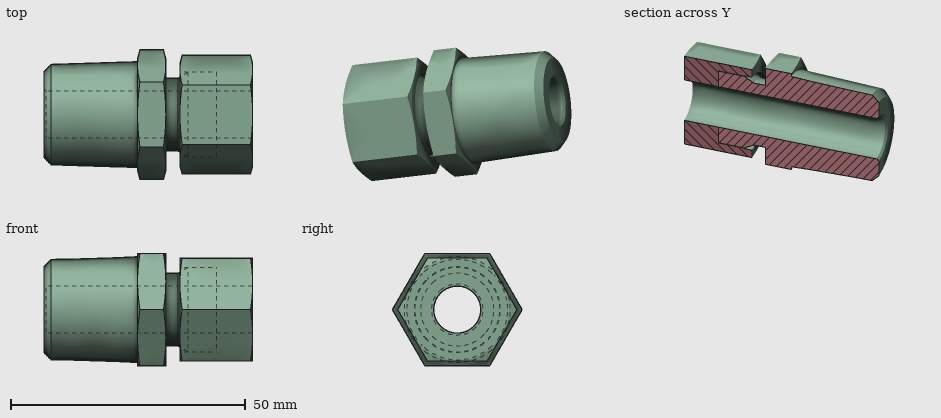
import cadquery as cq
import math

shank_length = 20.0
hex_length = 6.0
nut_start = 29.0
fitting_length = 44.5
hex_end = shank_length + hex_length
nut_length = fitting_length - nut_start

shank_tip_radius = 10.72
shank_tip_chamfer = 1.55
shank_taper = 1 / 16

bore_radius = 5.0
bore_mouth_chamfer = 0.5

hex_width = 24.0
nut_width = 22.0
corner_chamfer_angle = math.radians(15)

neck_radius = 7.8
spigot_radius = 9.05
spigot_cone_angle = math.radians(30)
spigot_cone_start = 28.6
spigot_end = nut_start + nut_length / 2


def revolve_profile(points):
    """Solid of revolution about the X axis from (x, radius) points."""
    return cq.Workplane("XY").polyline(points).close().revolve(360, (0, 0, 0), (1, 0, 0))


def cylinder(start, end, radius):
    """Cylinder along the X axis."""
    return cq.Workplane("YZ", origin=(start, 0, 0)).circle(radius).extrude(end - start)


def hexagon(start, end, width):
    """Hexagonal prism along X, with flats on +Z and -Z and its corners turned off at both ends."""
    corner_radius = width / math.sqrt(3)
    flat_radius = width / 2
    setback = (corner_radius - flat_radius) * math.tan(corner_chamfer_angle)
    prism = (
        cq.Workplane("YZ", origin=(start, 0, 0))
        .polygon(6, 2 * corner_radius)
        .extrude(end - start)
    )
    turned_envelope = revolve_profile([
        (start, 0),
        (start, flat_radius),
        (start + setback, corner_radius),
        (end - setback, corner_radius),
        (end, flat_radius),
        (end, 0),
    ])
    return prism.intersect(turned_envelope)


def make_shank():
    """Shank widening towards the hexagon, with a chamfered tip."""
    tapered_length = shank_length - shank_tip_chamfer
    base_radius = shank_tip_radius + tapered_length * shank_taper / 2
    return revolve_profile([
        (0, 0),
        (0, shank_tip_radius - shank_tip_chamfer),
        (shank_tip_chamfer, shank_tip_radius),
        (shank_length, base_radius),
        (shank_length, 0),
    ])


def make_spigot():
    """Neck and the wider spigot, joined by a cone that starts just outside the nut."""
    spigot_cone_end = spigot_cone_start + (spigot_radius - neck_radius) / math.tan(spigot_cone_angle)
    return revolve_profile([
        (hex_end, 0),
        (hex_end, neck_radius),
        (spigot_cone_start, neck_radius),
        (spigot_cone_end, spigot_radius),
        (spigot_end, spigot_radius),
        (spigot_end, 0),
    ])


def make_bore():
    """Cutter for the bore through the fitting body, with a chamfered mouth."""
    return revolve_profile([
        (0, 0),
        (0, bore_radius + bore_mouth_chamfer),
        (bore_mouth_chamfer, bore_radius),
        (spigot_end, bore_radius),
        (spigot_end, 0),
    ])


def make_fitting_body():
    hex_collar = hexagon(shank_length, hex_end, hex_width)
    return make_shank().union(hex_collar).union(make_spigot()).cut(make_bore())


def make_nut():
    """Nut with a recess for the spigot and a passage that continues the bore."""
    spigot_recess = cylinder(nut_start, spigot_end, spigot_radius)
    passage = cylinder(spigot_end, fitting_length, bore_radius)
    return hexagon(nut_start, fitting_length, nut_width).cut(spigot_recess).cut(passage)


fitting_body = make_fitting_body()
nut = make_nut()

result = cq.Compound.makeCompound([fitting_body.solids().val(), nut.solids().val()])